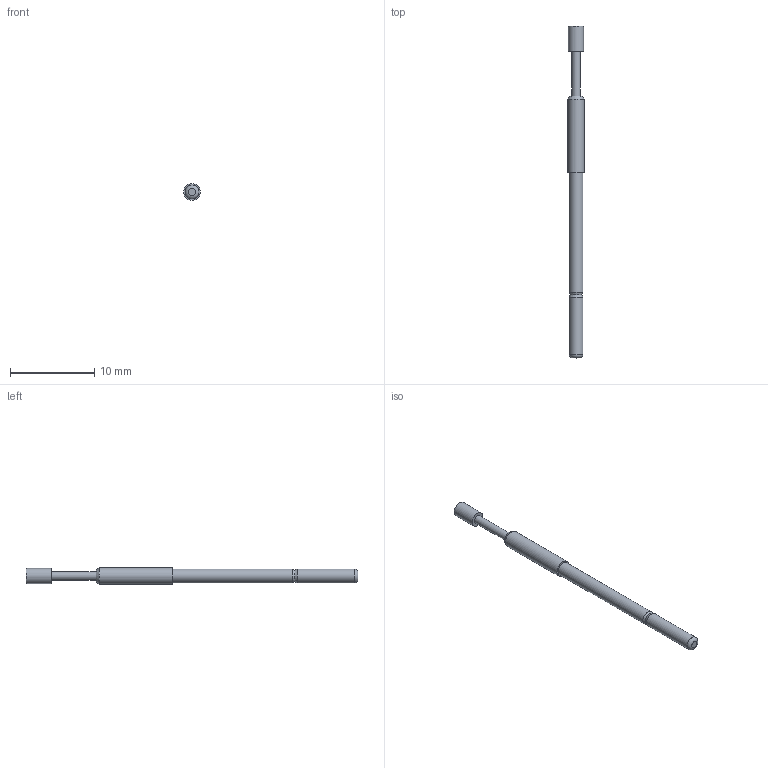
import cadquery as cq
import math

total_length = 39.3

head_diameter = 1.8
head_length = 3.0
plunger_diameter = 1.0
collar_diameter = 2.0
collar_length = 9.0
barrel_diameter = 1.65

collar_start = 22.0
collar_chamfer_length = 0.35
collar_chamfer_depth = 0.25

tail_round_radius = 0.4

groove_start = 7.2
groove_width = 0.6
groove_depth = 0.12

tail_y = -total_length / 2
head_y = tail_y + total_length

head_radius = head_diameter / 2
plunger_radius = plunger_diameter / 2
collar_radius = collar_diameter / 2
barrel_radius = barrel_diameter / 2


def revolve_about_y(profile):
    """Turn a closed half-profile in the XY plane about the Y axis."""
    return profile.close().revolve(360, (0, 0, 0), (0, 1, 0))


def make_body():
    """Barrel with rounded tail, collar, plunger and contact head."""
    collar_rear_y = tail_y + collar_start
    collar_front_y = collar_rear_y + collar_length
    head_rear_y = head_y - head_length
    tail_face_radius = barrel_radius - tail_round_radius
    round_center_y = tail_y + tail_round_radius
    round_mid_offset = tail_round_radius * math.sqrt(0.5)
    round_middle = (tail_face_radius + round_mid_offset, round_center_y - round_mid_offset)
    profile = (
        cq.Workplane("XY")
        .moveTo(0, tail_y)
        .lineTo(tail_face_radius, tail_y)
        .threePointArc(round_middle, (barrel_radius, round_center_y))
        .lineTo(barrel_radius, collar_rear_y)
        .lineTo(collar_radius, collar_rear_y)
        .lineTo(collar_radius, collar_front_y - collar_chamfer_length)
        .lineTo(collar_radius - collar_chamfer_depth, collar_front_y)
        .lineTo(plunger_radius, collar_front_y)
        .lineTo(plunger_radius, head_rear_y)
        .lineTo(head_radius, head_rear_y)
        .lineTo(head_radius, head_y)
        .lineTo(0, head_y)
    )
    return revolve_about_y(profile)


def make_groove_cutter():
    """Ring with a V section that cuts the barrel groove."""
    rear_y = tail_y + groove_start
    bottom_y = rear_y + groove_width / 2
    front_y = rear_y + groove_width
    profile = (
        cq.Workplane("XY")
        .moveTo(barrel_radius, rear_y)
        .lineTo(barrel_radius - groove_depth, bottom_y)
        .lineTo(barrel_radius, front_y)
    )
    return revolve_about_y(profile)


result = make_body().cut(make_groove_cutter())